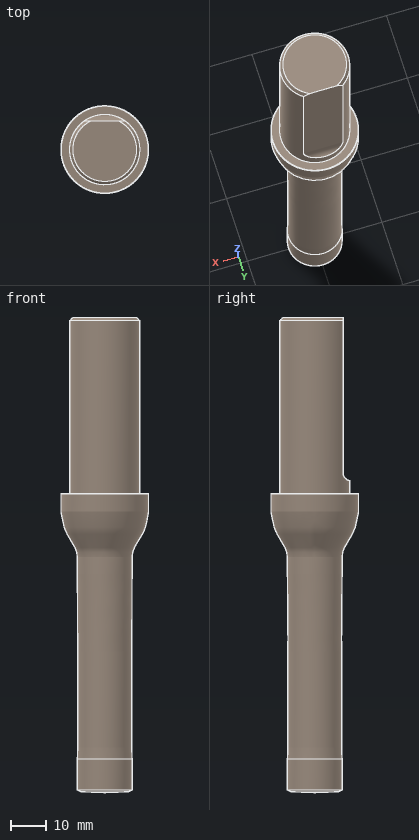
import cadquery as cq
import math

TOTAL_HEIGHT = 135.0

HEAD_DIAMETER = 15.7
HEAD_TOP = 9.6
TIP_HEIGHT = 0.3
HEAD_CHAMFER_HEIGHT = 0.5
HEAD_CHAMFER_WIDTH = 1.1

NECK_DIAMETER = 15.4
NECK_BOTTOM = 12.8
NECK_TOP = 40.1
COLLAR_BOTTOM = 62.1
COLLAR_TOP = 66.8

FLANGE_DIAMETER = 25.0
FLANGE_BOTTOM = 79.8
FLANGE_TOP = 85.0
FLANGE_CHAMFER = 0.1
BELL_SHOULDER_RADIUS = 10.8
BELL_SHOULDER_HEIGHT = 73.6
BELL_THROAT_RADIUS = 8.5
BELL_THROAT_HEIGHT = 69.7
BELL_RIM_ANGLE = 10.0

SHANK_DIAMETER = 20.0
SHANK_CHAMFER = 1.0
FLAT_DISTANCE = 8.1
FLAT_BOTTOM = 88.7
FLAT_FILLET_RADIUS = 2.0

head_radius = HEAD_DIAMETER / 2
neck_radius = NECK_DIAMETER / 2
flange_radius = FLANGE_DIAMETER / 2
shank_radius = SHANK_DIAMETER / 2


def make_head():
    """Cylinder with a chamfered lower rim and a very shallow conical end."""
    profile = (
        cq.Workplane("XZ")
        .moveTo(0, 0)
        .lineTo(head_radius - HEAD_CHAMFER_WIDTH, TIP_HEIGHT)
        .lineTo(head_radius, TIP_HEIGHT + HEAD_CHAMFER_HEIGHT)
        .lineTo(head_radius, HEAD_TOP)
        .lineTo(0, HEAD_TOP)
        .close()
    )
    return profile.revolve(360, (0, 0, 0), (0, 1, 0))


def make_flat_cutter():
    """Block that cuts the clamping flat, with a rounded run-out at its lower end."""
    outer_y = FLAT_DISTANCE + FLAT_FILLET_RADIUS
    arc_middle = FLAT_FILLET_RADIUS * (1 - math.sqrt(0.5))
    return (
        cq.Workplane("YZ")
        .moveTo(outer_y, FLAT_BOTTOM)
        .threePointArc(
            (FLAT_DISTANCE + arc_middle, FLAT_BOTTOM + arc_middle),
            (FLAT_DISTANCE, FLAT_BOTTOM + FLAT_FILLET_RADIUS),
        )
        .lineTo(FLAT_DISTANCE, TOTAL_HEIGHT)
        .lineTo(outer_y, TOTAL_HEIGHT)
        .close()
        .extrude(shank_radius, both=True)
    )


def make_holder():
    """Neck, bell, flange and shank turned as one piece, with the flat cut into the shank."""
    bell_points = [
        (BELL_THROAT_RADIUS, BELL_THROAT_HEIGHT),
        (BELL_SHOULDER_RADIUS, BELL_SHOULDER_HEIGHT),
        (flange_radius, FLANGE_BOTTOM),
    ]
    collar_direction = (0, 1)
    rim_angle = math.radians(BELL_RIM_ANGLE)
    rim_direction = (math.sin(rim_angle), math.cos(rim_angle))
    profile = (
        cq.Workplane("XZ")
        .moveTo(0, HEAD_TOP)
        .lineTo(head_radius, HEAD_TOP)
        .lineTo(neck_radius, NECK_BOTTOM)
        .lineTo(neck_radius, NECK_TOP)
        .lineTo(head_radius, COLLAR_BOTTOM)
        .lineTo(head_radius, COLLAR_TOP)
        .spline(bell_points, tangents=[collar_direction, rim_direction], includeCurrent=True)
        .lineTo(flange_radius, FLANGE_TOP - FLANGE_CHAMFER)
        .lineTo(flange_radius - FLANGE_CHAMFER, FLANGE_TOP)
        .lineTo(shank_radius, FLANGE_TOP)
        .lineTo(shank_radius, TOTAL_HEIGHT - SHANK_CHAMFER)
        .lineTo(shank_radius - SHANK_CHAMFER, TOTAL_HEIGHT)
        .lineTo(0, TOTAL_HEIGHT)
        .close()
    )
    return profile.revolve(360, (0, 0, 0), (0, 1, 0)).cut(make_flat_cutter())


head = make_head()
holder = make_holder()

result = cq.Compound.makeCompound([head.val(), holder.val()])